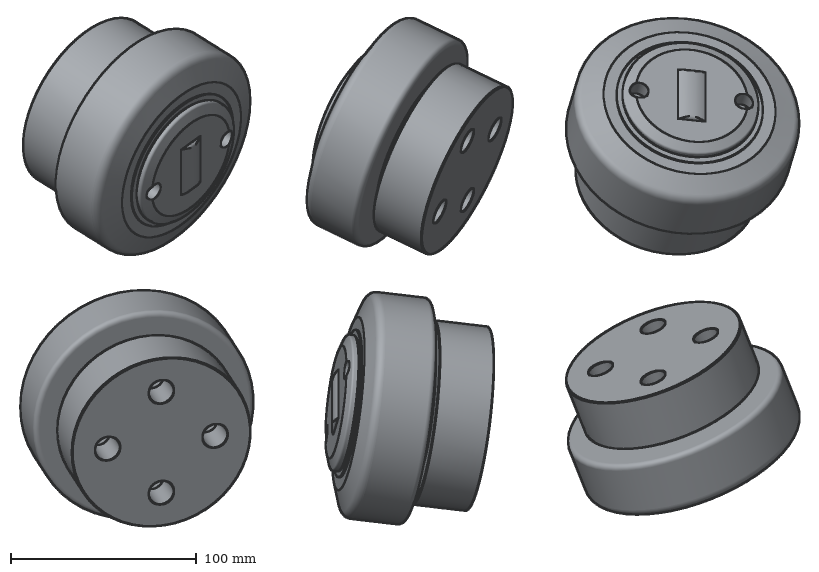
import cadquery as cq
import math

hub_end = 30.0
lip_start = 33.1
tread_start = 33.6
tread_end = 70.5
lip_end = 71.2
cap_end = 77.2
overall_length = 79.2

hub_diameter = 100.0
neck_diameter = 79.0
lip_diameter = 80.0
tread_diameter = 123.0
cap_diameter = 74.0

hub_chamfer = 0.5
tread_back_radius = 2.8
tread_front_radius = 4.9
tread_face_radius = 47.0
cap_face_radius = 30.6
cap_edge_radius = 1.2
cap_chamfer = 0.7
bevel_angle = math.radians(20)

mount_hole_diameter = 13.8
mount_hole_chamfer = 0.2
mount_hole_depth = 19.7
mount_circle_radius = 30.0
drill_point_angle = math.radians(118)

cap_hole_diameter = 10.0
cap_hole_depth = 9.8
cap_hole_offset = 28.7
bar_width = 15.1
bar_length = 32.7
bar_end_radius = 1.8


def disc(start, end, diameter):
    """Cylinder on the X axis between two stations."""
    return cq.Workplane("YZ", origin=(start, 0, 0)).circle(diameter / 2).extrude(end - start)


def bevelled_disc(start, end, radius, face_radius, edge_radius):
    """Disc with a conical front bevel blended into its rim by a tangent arc."""
    turn = math.pi / 2 - bevel_angle
    arc_end_radius = radius - edge_radius * (1 - math.cos(turn))
    arc_end = end - (arc_end_radius - face_radius) * math.tan(bevel_angle)
    arc_start = arc_end - edge_radius * math.sin(turn)
    arc_middle = (
        arc_start + edge_radius * math.sin(turn / 2),
        radius - edge_radius * (1 - math.cos(turn / 2)),
    )
    return (
        cq.Workplane("XY")
        .moveTo(start, 0)
        .lineTo(start, radius)
        .lineTo(arc_start, radius)
        .threePointArc(arc_middle, (arc_end, arc_end_radius))
        .lineTo(end, face_radius)
        .lineTo(end, 0)
        .close()
        .revolve(360, (0, 0, 0), (1, 0, 0))
    )


def mount_hole(y, z):
    """Chamfered blind hole with a conical drill point."""
    radius = mount_hole_diameter / 2
    point_depth = mount_hole_depth + radius / math.tan(drill_point_angle / 2)
    outline = [
        (0, 0),
        (0, radius + mount_hole_chamfer),
        (mount_hole_chamfer, radius),
        (mount_hole_depth, radius),
        (point_depth, 0),
    ]
    hole = cq.Workplane("XY").polyline(outline).close().revolve(360, (0, 0, 0), (1, 0, 0))
    return hole.translate((0, y, z))


def cap_hole(y):
    """Blind hole in the cap beside the bar."""
    radius = cap_hole_diameter / 2
    outline = [
        (cap_end, 0),
        (cap_end, radius),
        (cap_end - cap_hole_depth, radius),
        (cap_end - cap_hole_depth, 0),
    ]
    hole = cq.Workplane("XY").polyline(outline).close().revolve(360, (0, 0, 0), (1, 0, 0))
    return hole.translate((0, y, 0))


def domed_bar():
    """Bar along Z with an arched section and rounded ends, rooted in the cap face."""
    root = lip_end
    section = (
        cq.Workplane("XY", origin=(0, 0, -bar_length / 2))
        .moveTo(root, -bar_width / 2)
        .lineTo(cap_end, -bar_width / 2)
        .threePointArc((overall_length, 0), (cap_end, bar_width / 2))
        .lineTo(root, bar_width / 2)
        .close()
        .extrude(bar_length)
    )
    rounded_block = (
        cq.Workplane("XY")
        .box(overall_length - root, bar_width, bar_length)
        .edges(">X and |Y")
        .fillet(bar_end_radius)
        .translate(((overall_length + root) / 2, 0, 0))
    )
    return section.intersect(rounded_block)


hub = disc(0, hub_end, hub_diameter).edges().chamfer(hub_chamfer)
neck = disc(0, lip_end, neck_diameter)
inner_ring = disc(lip_start, lip_end, lip_diameter)
tread = (
    bevelled_disc(tread_start, tread_end, tread_diameter / 2, tread_face_radius, tread_front_radius)
    .edges("<X")
    .fillet(tread_back_radius)
)
cap = (
    bevelled_disc(lip_end, cap_end, cap_diameter / 2, cap_face_radius, cap_edge_radius)
    .edges("<X")
    .chamfer(cap_chamfer)
)
result = hub.union(neck).union(inner_ring).union(tread).union(cap).union(domed_bar())

for y_side, z_side in [(1, 0), (-1, 0), (0, 1), (0, -1)]:
    result = result.cut(mount_hole(y_side * mount_circle_radius, z_side * mount_circle_radius))

for side in (-1, 1):
    result = result.cut(cap_hole(side * cap_hole_offset))